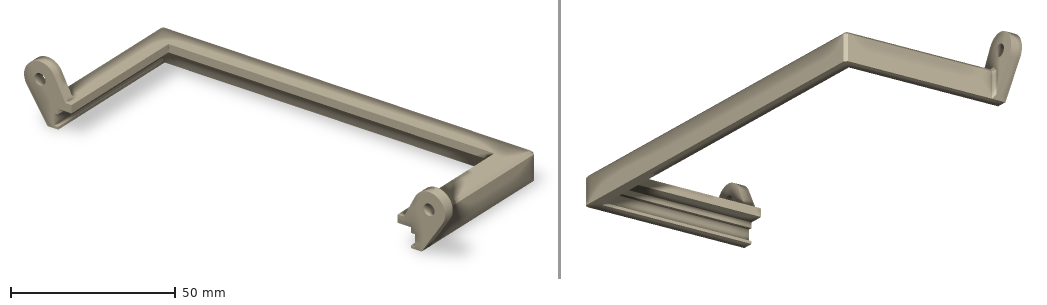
import cadquery as cq
import math

overall_length = 158.5
overall_depth = 59.0
overall_height = 21.2
lug_radius = 6.0
hole_radius = 2.0
lug_thickness = 4.0
lug_inner_foot = 63.7
frame_height = 10.0
frame_half_width = 70.4
bar_width = 9.0
edge_chamfer = 1.0
flange_thickness = 2.9
recess_width = 5.0
groove_width = 1.5
groove_bottom = 1.0
groove_top = 5.2

lug_x = overall_length / 2 - lug_radius
lug_z = overall_height - lug_radius
inner_half_width = frame_half_width - bar_width
inner_depth = overall_depth - bar_width
recess_half_width = inner_half_width + recess_width
recess_depth = inner_depth + recess_width


def centered_block(half_width, depth, bottom, top):
    """Block centred in X that starts at the open front of the frame."""
    block = cq.Workplane("XY").box(2 * half_width, depth, top - bottom, centered=(True, False, False))
    return block.translate((0, 0, bottom))


def make_frame():
    """Solid block with its back corners and outer top edges chamfered."""
    block = centered_block(frame_half_width, overall_depth, 0, frame_height)
    block = block.edges("|Z and >Y").chamfer(edge_chamfer)
    return block.faces(">Z").edges("not <Y").chamfer(edge_chamfer)


def tangent_point(foot_x, foot_z, side):
    """Point where the line from a foot touches the lug circle; side is +1 or -1."""
    dx = foot_x - lug_x
    dz = foot_z - lug_z
    angle = math.atan2(dz, dx) + side * math.acos(lug_radius / math.hypot(dx, dz))
    return (lug_x + lug_radius * math.cos(angle), lug_z + lug_radius * math.sin(angle))


def lug_prism(thickness):
    """Right-hand lug: round head whose tangent sides run down to the arm."""
    return (
        cq.Workplane("XZ")
        .moveTo(frame_half_width, 0)
        .lineTo(*tangent_point(frame_half_width, 0, 1))
        .threePointArc((lug_x, overall_height), tangent_point(lug_inner_foot, frame_height, -1))
        .lineTo(lug_inner_foot, frame_height)
        .lineTo(lug_inner_foot, 0)
        .close()
        .extrude(-thickness)
    )


def arm_section(growth, y):
    """Wire of the frame's cross-section, grown outwards on its top and sides."""
    half_width = frame_half_width + growth
    top = frame_height + growth
    corner = edge_chamfer + growth * (2 - math.sqrt(2))
    return (
        cq.Workplane("XZ", origin=(0, y, 0))
        .moveTo(-half_width, 0)
        .lineTo(-half_width, top - corner)
        .lineTo(-half_width + corner, top)
        .lineTo(half_width - corner, top)
        .lineTo(half_width, top - corner)
        .lineTo(half_width, 0)
        .close()
        .val()
    )


def make_lug():
    """Right-hand lug with a small sloped collar where it meets the arm."""
    collar_end = lug_thickness + edge_chamfer
    wires = [arm_section(edge_chamfer, lug_thickness), arm_section(0, collar_end)]
    collar = cq.Workplane("XY").add(cq.Solid.makeLoft(wires, True))
    lug = lug_prism(lug_thickness).union(collar.intersect(lug_prism(collar_end)))
    hole = cq.Workplane("XZ").center(lug_x, lug_z).circle(hole_radius).extrude(-collar_end)
    return lug.cut(hole)


lug = make_lug()
result = make_frame().union(lug).union(lug.mirror("YZ"))

result = result.cut(centered_block(inner_half_width, inner_depth, 0, frame_height))
result = result.cut(centered_block(recess_half_width, recess_depth, 0, frame_height - flange_thickness))
result = result.cut(centered_block(recess_half_width + groove_width, recess_depth, groove_bottom, groove_top))